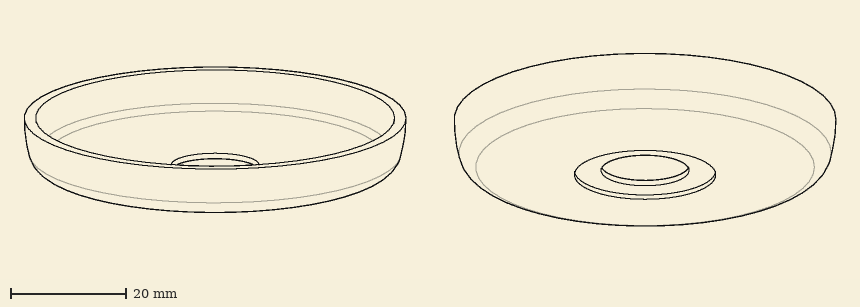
import cadquery as cq
import math

rim_radius = 33.15
height = 10.3
thickness = 2.0
hole_radius = 7.6
recess_radius = 12.25
recess_ceiling = 0.8
wall_arc_radius = 24.5
floor_arc_radius = 250.6
corner_radius = 3.45

wall_x = rim_radius - wall_arc_radius
wall_z = height
floor_z = math.sqrt(floor_arc_radius**2 - recess_radius**2)


def corner_center():
    """Centre of the blend that is tangent inside both the wall and floor arcs."""
    wall_reach = wall_arc_radius - corner_radius
    floor_reach = floor_arc_radius - corner_radius
    dx = -wall_x
    dz = floor_z - wall_z
    distance = math.hypot(dx, dz)
    along = (wall_reach**2 - floor_reach**2 + distance**2) / (2 * distance)
    across = math.sqrt(wall_reach**2 - along**2)
    x = wall_x + (along * dx - across * dz) / distance
    z = wall_z + (along * dz + across * dx) / distance
    if x < wall_x:
        x += 2 * across * dz / distance
        z -= 2 * across * dx / distance
    return x, z


def on_arc(x, z, radius, angle):
    return x + radius * math.cos(angle), z + radius * math.sin(angle)


def dish(inset):
    """Solid dish bounded by the outer surface moved inward by inset."""
    corner_x, corner_z = corner_center()
    wall_radius = wall_arc_radius - inset
    floor_radius = floor_arc_radius - inset
    blend_radius = corner_radius - inset
    down = -math.pi / 2
    wall_end = math.atan2(corner_z - wall_z, corner_x - wall_x)
    floor_end = math.atan2(corner_z - floor_z, corner_x)
    profile = (
        cq.Workplane("XZ")
        .moveTo(0, height)
        .lineTo(wall_x + wall_radius, height)
        .threePointArc(
            on_arc(wall_x, wall_z, wall_radius, wall_end / 2),
            on_arc(wall_x, wall_z, wall_radius, wall_end),
        )
        .threePointArc(
            on_arc(corner_x, corner_z, blend_radius, (wall_end + floor_end) / 2),
            on_arc(corner_x, corner_z, blend_radius, floor_end),
        )
        .threePointArc(
            on_arc(0, floor_z, floor_radius, (floor_end + down) / 2),
            on_arc(0, floor_z, floor_radius, down),
        )
        .close()
    )
    return profile.revolve(360, (0, 0, 0), (0, 1, 0))


shell = dish(0).cut(dish(thickness))

pole_z = floor_z - floor_arc_radius
recess_base = 2 * pole_z
recess = (
    cq.Workplane("XY", origin=(0, 0, recess_base))
    .circle(recess_radius)
    .extrude(recess_ceiling - recess_base)
)
hole = (
    cq.Workplane("XY", origin=(0, 0, recess_base))
    .circle(hole_radius)
    .extrude(height - recess_base)
)

result = shell.cut(recess).cut(hole)